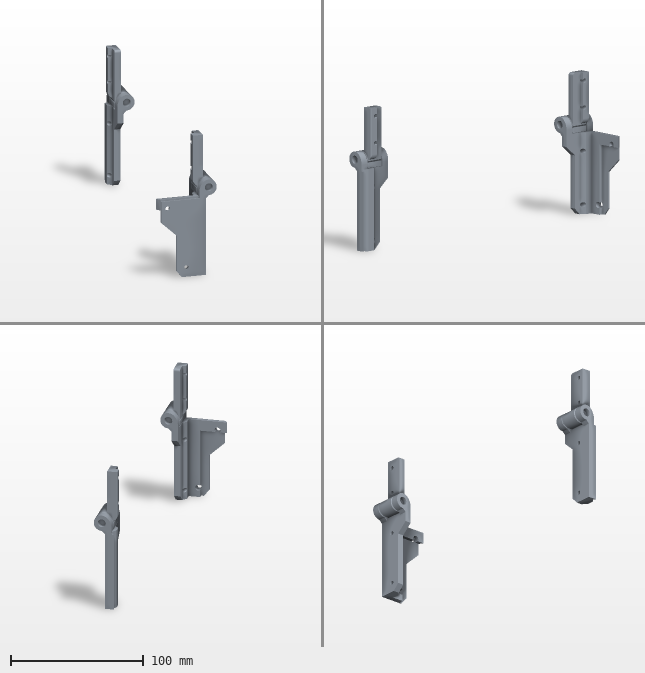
import cadquery as cq
import math


TOTAL_LENGTH = 239.0
TOTAL_DEPTH = 46.4
STUD_HEIGHT = 0.2
LEFT_END = -TOTAL_LENGTH / 2
RIGHT_END = TOTAL_LENGTH / 2 - STUD_HEIGHT

BACK_Y = -2.5
FACE_Y = -7.5
RIB_Y = -10.3
RIB_HEIGHT = FACE_Y - RIB_Y

HINGE_WIDTH = 27.5
KNUCKLE_LENGTH = 6.0
KNUCKLE_GAP = 0.7
KNUCKLE_RADIUS = 6.2
KNUCKLE_CHAMFER = 0.5
PIN_DIAMETER = 3.5
PIN_COUNTERBORE = 6.2
PIN_COUNTERBORE_DEPTH = 3.5

LOWER_BOTTOM = -69.3
NECK_BOTTOM = -8.5
FLANGE_BOTTOM = -16.0
STEP_BOTTOM = -23.5
STEP_WIDTH = 18.9
FOOT_CHAMFER = 5.0
RIB_TOP = -6.7
RIB_START = 4.5
RIB_END = 13.1
GROOVE_X = RIB_START - RIB_HEIGHT
LIP_TOP = -8.1
LIP_Y = -9.3

UPPER_TOP = 39.7
BAR_BOTTOM = -0.7
BAR_START = 7.2
BAR_END = 20.5
BAR_CORNER_RADIUS = 2.0
BAR_EDGE_CHAMFER = 0.7
UPPER_RIB_BOTTOM = 0.0
UPPER_RIB_ROUND = 4.0
NOTCH_Y = -6.2
NOTCH_BOTTOM = -2.2

SCREW_HOLE = 3.3
SCREW_X = 11.7
LOWER_SCREW_HEIGHTS = (-20.8, -62.0)
UPPER_SCREW_HEIGHTS = (12.7, 33.2)

PLATE_END_Y = KNUCKLE_RADIUS - TOTAL_DEPTH
MITRE_OUTER_Y = -36.8
WEB_END_Y = -37.8
WEB_THICKNESS = 1.5
WEB_STEP_TOP = -24.5
WEB_STEP_BOTTOM = -35.8
WEB_EDGE_Y = -25.5
WEB_FOOT_Y = -21.3
WEB_FOOT_TOP = -64.0
BAND_EDGE_Y = -19.0
BAND_EDGE_Z = -15.3
PLATE_HOLE = 3.3
PLATE_COUNTERBORE = 4.8
PLATE_HOLES = ((-32.5, -13.9), (-17.7, LOWER_SCREW_HEIGHTS[1]))

STUD_DIAMETER = 1.5
STUD_Y = -1.7
STUD_Z = 5.0


def box(x_range, y_range, z_range):
    """Box between two positions on each axis."""
    sizes = [end - start for start, end in (x_range, y_range, z_range)]
    corner = (x_range[0], y_range[0], z_range[0])
    return cq.Workplane("XY").box(*sizes, centered=False).translate(corner)


def rod(diameter, start, length, y=0.0, z=0.0):
    """Cylinder along X."""
    return cq.Workplane("YZ", origin=(start, y, z)).circle(diameter / 2).extrude(length)


def knuckle(neck_bottom, start, length):
    """Knuckle whose rim flares in a large arc into the flat front face of its neck."""
    radius = KNUCKLE_RADIUS
    diagonal = math.sqrt(0.5)
    flare = (-FACE_Y - radius * diagonal) / (1 - diagonal)
    flare_y = FACE_Y + flare
    flare_z = (radius - flare) * diagonal
    middle = math.pi / 8
    return (
        cq.Workplane("YZ", origin=(start, 0, 0))
        .moveTo(0, -radius)
        .threePointArc((radius, 0), (-radius * diagonal, radius * diagonal))
        .threePointArc(
            (flare_y - flare * math.cos(middle), flare_z + flare * math.sin(middle)),
            (FACE_Y, flare_z),
        )
        .lineTo(FACE_Y, neck_bottom)
        .lineTo(BACK_Y, neck_bottom)
        .close()
        .extrude(length)
    )


def screw_holes(heights):
    """Through holes along Y at the given heights."""
    points = [(SCREW_X, height) for height in heights]
    depth = BACK_Y - RIB_Y
    plane = cq.Workplane("XZ", origin=(0, BACK_Y, 0))
    return plane.pushPoints(points).circle(SCREW_HOLE / 2).extrude(depth)


def lower_leaf():
    """Stepped flange with two knuckles and a front rib that has a V-groove beside it."""
    flange = (
        cq.Workplane("XZ", origin=(0, BACK_Y, 0))
        .polyline([
            (0, RIB_TOP),
            (HINGE_WIDTH, RIB_TOP),
            (HINGE_WIDTH, FLANGE_BOTTOM),
            (STEP_WIDTH, STEP_BOTTOM),
            (STEP_WIDTH, LOWER_BOTTOM + FOOT_CHAMFER),
            (STEP_WIDTH - FOOT_CHAMFER, LOWER_BOTTOM),
            (0, LOWER_BOTTOM),
        ])
        .close()
        .extrude(BACK_Y - FACE_Y)
    )
    rib = (
        cq.Workplane("XY", origin=(0, 0, LOWER_BOTTOM))
        .polyline([
            (GROOVE_X, FACE_Y),
            (RIB_START, RIB_Y),
            (RIB_END - RIB_HEIGHT, RIB_Y),
            (RIB_END, FACE_Y),
        ])
        .close()
        .extrude(RIB_TOP - LOWER_BOTTOM)
    )
    lip = (
        cq.Workplane("XY", origin=(0, 0, LOWER_BOTTOM))
        .polyline([(0, FACE_Y), (0, LIP_Y), (GROOVE_X, FACE_Y)])
        .close()
        .extrude(LIP_TOP - LOWER_BOTTOM)
    )
    leaf = flange.union(rib).union(lip)
    for start in (0, HINGE_WIDTH - KNUCKLE_LENGTH):
        leaf = leaf.union(knuckle(NECK_BOTTOM, start, KNUCKLE_LENGTH))
    for start in (0, HINGE_WIDTH - PIN_COUNTERBORE_DEPTH):
        leaf = leaf.cut(rod(PIN_COUNTERBORE, start, PIN_COUNTERBORE_DEPTH))
    return leaf.cut(rod(PIN_DIAMETER, 0, HINGE_WIDTH)).cut(screw_holes(LOWER_SCREW_HEIGHTS))


def upper_leaf():
    """Upright bar with a front rib, carried by the middle knuckle."""
    bar = box((BAR_START, BAR_END), (FACE_Y, BACK_Y), (BAR_BOTTOM, UPPER_TOP))
    bar = bar.edges("|Y and >X and >Z").fillet(BAR_CORNER_RADIUS)
    rib = box((BAR_START, RIB_END), (RIB_Y, BACK_Y), (UPPER_RIB_BOTTOM, UPPER_TOP))
    rib = rib.edges("|X and <Y and <Z").fillet(UPPER_RIB_ROUND)
    start = KNUCKLE_LENGTH + KNUCKLE_GAP
    length = HINGE_WIDTH - 2 * start
    middle = knuckle(-KNUCKLE_RADIUS, start, length)
    middle = middle.faces("<X or >X").chamfer(KNUCKLE_CHAMFER)
    notch = (
        cq.Workplane("YZ", origin=(start, 0, 0))
        .polyline([(FACE_Y, BAR_BOTTOM), (NOTCH_Y, NOTCH_BOTTOM), (FACE_Y, NOTCH_BOTTOM)])
        .close()
        .extrude(length)
    )
    leaf = middle.cut(notch).union(bar).union(rib)
    return leaf.cut(rod(PIN_DIAMETER, 0, HINGE_WIDTH)).cut(screw_holes(UPPER_SCREW_HEIGHTS))


def bar_edge():
    """Triangular strip that bevels the outer front edge of an upper leaf."""
    return (
        cq.Workplane("XY")
        .polyline([
            (BAR_START, RIB_Y),
            (BAR_START + BAR_EDGE_CHAMFER, RIB_Y),
            (BAR_START, RIB_Y + BAR_EDGE_CHAMFER),
        ])
        .close()
        .extrude(UPPER_TOP)
    )


def hinge_pin():
    """Pin that ends at the floors of the two counterbores."""
    return rod(PIN_DIAMETER, PIN_COUNTERBORE_DEPTH, HINGE_WIDTH - 2 * PIN_COUNTERBORE_DEPTH)


def side_plate():
    """Thin web with an L-shaped band, keyed into the V-groove and mitred at its far edge."""
    web = (
        cq.Workplane("YZ")
        .polyline([
            (FACE_Y, LIP_TOP),
            (PLATE_END_Y, LIP_TOP),
            (PLATE_END_Y, BAND_EDGE_Z),
            (WEB_END_Y, BAND_EDGE_Z),
            (WEB_END_Y, WEB_STEP_TOP),
            (WEB_EDGE_Y, WEB_STEP_BOTTOM),
            (WEB_EDGE_Y, WEB_FOOT_TOP),
            (WEB_FOOT_Y, LOWER_BOTTOM),
            (FACE_Y, LOWER_BOTTOM),
        ])
        .close()
        .extrude(WEB_THICKNESS)
    )
    band = (
        cq.Workplane("YZ", origin=(WEB_THICKNESS, 0, 0))
        .polyline([
            (FACE_Y, RIB_TOP),
            (PLATE_END_Y, RIB_TOP),
            (PLATE_END_Y, BAND_EDGE_Z),
            (BAND_EDGE_Y, BAND_EDGE_Z),
            (BAND_EDGE_Y, LOWER_BOTTOM),
            (FACE_Y, LOWER_BOTTOM),
        ])
        .close()
        .extrude(RIB_START - WEB_THICKNESS)
    )
    section = (
        cq.Workplane("XY", origin=(0, 0, LOWER_BOTTOM))
        .polyline([
            (0, LIP_Y),
            (GROOVE_X, FACE_Y),
            (RIB_START, RIB_Y),
            (RIB_START, PLATE_END_Y),
            (0, MITRE_OUTER_Y),
        ])
        .close()
        .extrude(RIB_TOP - LOWER_BOTTOM)
    )
    plate = web.union(band).intersect(section)
    for y, z in PLATE_HOLES:
        plate = plate.cut(rod(PLATE_HOLE, 0, WEB_THICKNESS, y, z))
        plate = plate.cut(rod(PLATE_COUNTERBORE, WEB_THICKNESS, RIB_START, y, z))
    return plate


def on_left(body):
    """Place a body in the left hinge."""
    return body.translate((LEFT_END, 0, 0))


def on_right(body):
    """Place the mirror image of a body in the right hinge."""
    return body.mirror("YZ").translate((RIGHT_END, 0, 0))


stop_stud = rod(STUD_DIAMETER, -STUD_HEIGHT, KNUCKLE_LENGTH, STUD_Y, STUD_Z)

lower_leaves = [on_left(lower_leaf()), on_right(lower_leaf().union(stop_stud))]
upper_leaves = [on_left(upper_leaf().cut(bar_edge())), on_right(upper_leaf())]
pins = [place(hinge_pin()) for place in (on_left, on_right)]
plate = on_right(side_plate())

bodies = [*lower_leaves, *upper_leaves, *pins, plate]
result = cq.Compound.makeCompound([body.solids().val() for body in bodies])